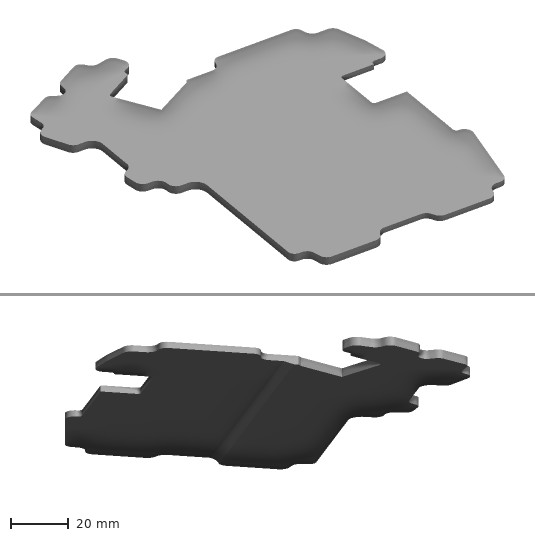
import cadquery as cq
import math

WIDTH = 149.2
THICKNESS = 3.1

THIN_THICKNESS = 2.2
RAMP_START_Y = 62.6
RAMP_END_Y = 66.4
RELIEF_END_Y = 134.2

SHARP = 0.0
NOTCH_ROUND = 1.2
STEP_ROUND = 1.5
LOBE_ROUND = 3.5
ARM_ROUND = 3.0
WIDE_ROUND = 3.7
CROWN_ROUND = 11.2

LEFT_X = 22.8
CROWN_LEFT_X = 29.4
CROWN_RIGHT_X = 54.9
TOP_SHELF_Y = 120.4
TOP_NOTCH_LEFT_X = 56.7
TOP_NOTCH_RIGHT_X = 77.3
TOP_NOTCH_FLOOR_Y = 106.4
SHOULDER_LEFT_X = 107.4
SHOULDER_RIGHT_X = 142.5
RIGHT_NOTCH_FLOOR_X = 144.1
LOWER_EDGE_Y = 30.1
LOWER_STEP_X = 83.1
FOOT_EDGE_Y = 14.5
WAIST_X = 29.0

CROWN = [
    (CROWN_LEFT_X, 121.7, LOBE_ROUND),
    (42.5, 126.2, CROWN_ROUND),
    (CROWN_RIGHT_X, 128.7, LOBE_ROUND),
    (CROWN_RIGHT_X, TOP_SHELF_Y, STEP_ROUND),
]
TOP_NOTCH = [
    (TOP_NOTCH_LEFT_X, TOP_SHELF_Y, SHARP),
    (TOP_NOTCH_LEFT_X, TOP_NOTCH_FLOOR_Y, NOTCH_ROUND),
    (TOP_NOTCH_RIGHT_X, TOP_NOTCH_FLOOR_Y, NOTCH_ROUND),
    (TOP_NOTCH_RIGHT_X, TOP_SHELF_Y, SHARP),
]
SHOULDER = [
    (SHOULDER_LEFT_X, TOP_SHELF_Y, STEP_ROUND),
    (SHOULDER_LEFT_X, 126.2, LOBE_ROUND),
    (SHOULDER_RIGHT_X, 118.5, LOBE_ROUND),
    (SHOULDER_RIGHT_X, 111.4, LOBE_ROUND),
]
RIGHT_SIDE = [
    (WIDTH, 109.5, LOBE_ROUND),
    (WIDTH, 86.4, LOBE_ROUND),
    (RIGHT_NOTCH_FLOOR_X, 83.7, LOBE_ROUND),
    (RIGHT_NOTCH_FLOOR_X, 64.3, LOBE_ROUND),
    (WIDTH, 61.6, LOBE_ROUND),
    (WIDTH, 38.5, LOBE_ROUND),
    (141.3, 36.8, LOBE_ROUND),
]
LOWER_EDGE = [
    (141.0, LOWER_EDGE_Y, 2.7),
    (LOWER_STEP_X, LOWER_EDGE_Y, 4.9),
    (LOWER_STEP_X, 19.4, LOBE_ROUND),
    (75.6, 19.1, WIDE_ROUND),
    (75.5, 10.9, LOBE_ROUND),
    (66.2, 9.5, ARM_ROUND),
    (63.5, FOOT_EDGE_Y, WIDE_ROUND),
    (41.8, FOOT_EDGE_Y, 4.5),
    (41.9, 5.2, LOBE_ROUND),
]
SLANTED_ARM = [
    (28.6, -1.0, LOBE_ROUND),
    (25.5, 4.5, ARM_ROUND),
    (16.9, 3.3, ARM_ROUND),
    (10.5, 15.0, ARM_ROUND),
    (13.3, 19.7, ARM_ROUND),
    (11.6, 22.7, ARM_ROUND),
    (6.1, 23.0, ARM_ROUND),
    (-0.9, 35.2, ARM_ROUND),
    (4.0, 39.0, LOBE_ROUND),
    (2.2, 47.3, LOBE_ROUND),
    (9.7, 51.5, LOBE_ROUND),
    (12.5, 45.6, STEP_ROUND),
]
SLANTED_NOTCH = [
    (14.8, 46.1, NOTCH_ROUND),
    (22.2, 33.0, NOTCH_ROUND),
    (39.7, 43.3, SHARP),
    (30.3, 60.0, SHARP),
]
LEFT_SIDE = [
    (WAIST_X, 61.0, SHARP),
    (WAIST_X, 74.1, LOBE_ROUND),
    (LEFT_X, 76.0, ARM_ROUND),
    (LEFT_X, 111.0, ARM_ROUND),
    (CROWN_LEFT_X, 112.3, WIDE_ROUND),
]
CORNERS = (
    CROWN + TOP_NOTCH + SHOULDER + RIGHT_SIDE
    + LOWER_EDGE + SLANTED_ARM + SLANTED_NOTCH + LEFT_SIDE
)


def unit_vector(start, end):
    """Unit direction from one corner to another."""
    return (cq.Vector(*end[:2]) - cq.Vector(*start[:2])).normalized()


def rounded_outline(corners):
    """Closed outline through (x, y, radius) corners, each rounded by a tangent arc."""
    sketch = None
    for index, corner in enumerate(corners):
        point = cq.Vector(*corner[:2])
        radius = corner[2]
        to_previous = unit_vector(corner, corners[index - 1])
        to_next = unit_vector(corner, corners[(index + 1) % len(corners)])
        half_angle = to_previous.getAngle(to_next) / 2
        setback = radius / math.tan(half_angle)
        bisector = (to_previous + to_next).normalized()
        arc_start = point + to_previous * setback
        arc_middle = point + bisector * (radius / math.sin(half_angle) - radius)
        arc_end = point + to_next * setback
        if sketch is None:
            sketch = cq.Workplane("XY").moveTo(arc_start.x, arc_start.y)
        else:
            sketch = sketch.lineTo(arc_start.x, arc_start.y)
        if radius > 0:
            sketch = sketch.threePointArc(arc_middle.toTuple()[:2], arc_end.toTuple()[:2])
    return sketch.close()


def underside_relief():
    """Wedge below the +Y half of the plate: a ramp, then a flat thinner region."""
    relief_depth = THICKNESS - THIN_THICKNESS
    profile = [
        (RAMP_START_Y, 0),
        (RAMP_END_Y, relief_depth),
        (RELIEF_END_Y, relief_depth),
        (RELIEF_END_Y, 0),
    ]
    return cq.Workplane("YZ").polyline(profile).close().extrude(WIDTH)


plate = rounded_outline(CORNERS).extrude(THICKNESS)
result = plate.cut(underside_relief())